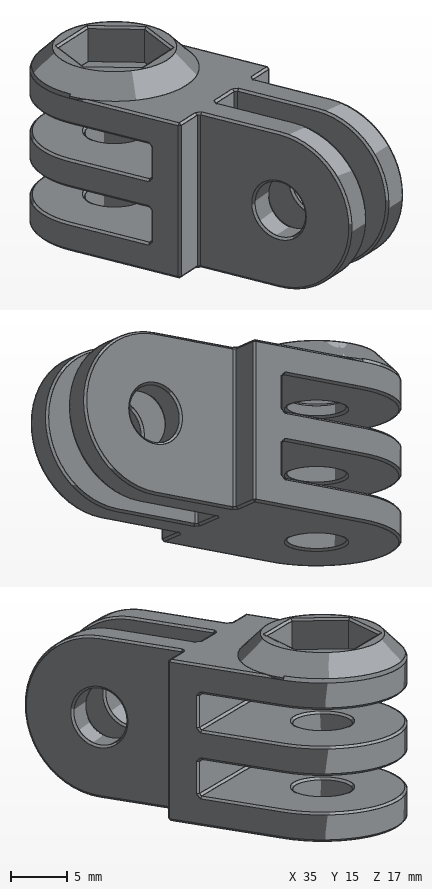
import cadquery as cq
import math

length = 35.0
width = 15.0
finger = 2.73
tab = 2.7
block_end = 19.08
slot_end = 16.0
hole_diameter = 5.3
chamfer = 0.2

boss_height = 2.0
nut_across_corners = 10.0
nut_depth = 3.4

radius = width / 2
tab_centre = length - radius
slot = (width - 3 * finger) / 2
pitch = finger + slot
height = width + boss_height
nut_floor = height - nut_depth


def make_fork():
    """Rounded block with three horizontal fingers."""
    body = (
        cq.Workplane("XY")
        .moveTo(block_end, -radius)
        .lineTo(block_end, radius)
        .lineTo(radius, radius)
        .threePointArc((0, 0), (radius, -radius))
        .close()
        .extrude(width)
    )
    for level in (finger, finger + pitch):
        gap = cq.Workplane("XY").box(slot_end, width, slot, centered=(False, True, False))
        body = body.cut(gap.translate((0, 0, level)))
    return body


def make_tab(y_centre):
    """Vertical tab with a rounded end, standing on the end of the block."""
    return (
        cq.Workplane("XZ", origin=(0, y_centre + tab / 2, 0))
        .moveTo(block_end, 0)
        .lineTo(tab_centre, 0)
        .threePointArc((length, radius), (tab_centre, width))
        .lineTo(block_end, width)
        .close()
        .extrude(tab)
    )


def cut_bolt_holes(body):
    """One vertical bolt hole through the fingers and one horizontal through the tabs."""
    finger_hole = cq.Workplane("XY").center(radius, 0).circle(hole_diameter / 2).extrude(height)
    tab_hole = (
        cq.Workplane("XZ")
        .center(tab_centre, radius)
        .circle(hole_diameter / 2)
        .extrude(radius, both=True)
    )
    return body.cut(finger_hole).cut(tab_hole)


def is_broken(edge):
    """True for every edge of the body with the small chamfer, inside corners included."""
    centre = edge.Center()
    box = edge.BoundingBox()
    if edge.geomType() == "CIRCLE":
        return True
    if box.zlen > chamfer:
        return slot_end - chamfer < centre.x < block_end + chamfer
    return centre.x < tab_centre - chamfer


def make_half_boss(rim, turn):
    """Half of the conical boss; rim lists (radius, z) points below the cone, turn 1 is the -X half."""
    return (
        cq.Workplane("YZ", origin=(radius, 0, 0))
        .polyline([(0, width - chamfer), *rim, (radius - boss_height, height), (0, height)])
        .close()
        .revolve(180, (0, 0, 0), (0, turn, 0))
    )


def make_boss():
    """Boss with its rim broken over the rounded finger end and sharp over the flat top."""
    bevel = chamfer * math.sqrt(0.5)
    broken_rim = [(radius, width - chamfer), (radius - bevel, width + bevel)]
    sharp_rim = [(radius, width - chamfer), (radius, width)]
    return make_half_boss(broken_rim, 1).union(make_half_boss(sharp_rim, -1))


def cut_nut_pocket(body):
    """Hexagonal nut pocket with two corners along Y; its mouth and the hole in its floor are broken."""
    pocket = (
        cq.Workplane("XY", origin=(radius, 0, nut_floor))
        .transformed(rotate=(0, 0, 90))
        .polygon(6, nut_across_corners)
        .extrude(nut_depth)
    )
    body = body.cut(pocket)
    mouth = body.faces(">Z").edges("%LINE")
    floor_rim = body.edges("%CIRCLE").filter(
        lambda edge: abs(edge.Center().z - nut_floor) < chamfer / 2
    )
    return mouth.add(floor_rim).chamfer(chamfer)


body = make_fork()
for side in (-1, 1):
    body = body.union(make_tab(side * pitch / 2))
body = cut_bolt_holes(body)
body = body.edges().filter(is_broken).chamfer(chamfer)
result = cut_nut_pocket(body.union(make_boss())).solids()